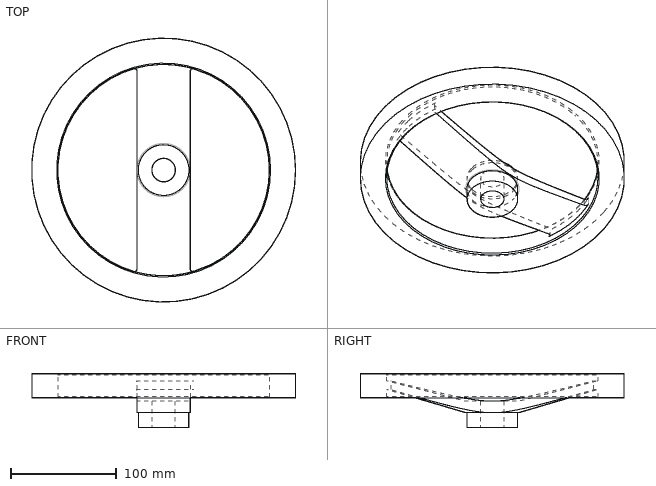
import cadquery as cq
import math

rim_radius = 125.0
rim_inner_radius = 100.0
rim_height = 23.0
rim_chamfer = 1.2

hub_radius = 24.0
hub_bottom = -28.0
hub_top = 0.0
bore_radius = 11.0

spoke_width = 50.5
web_inner_radius = spoke_width / 2
web_bottom_at_hub = -14.0
web_top_at_hub = -3.0
web_bottom_at_rim = 8.0
web_top_at_rim = 16.2
spoke_fillet = 2.5
corner_margin = 1.2
rim_overlap = 2.5


def make_rim():
    rim = cq.Workplane("XY").circle(rim_radius).circle(rim_inner_radius).extrude(rim_height)
    return rim.faces("<Z or >Z").edges(cq.selectors.RadiusNthSelector(0)).chamfer(rim_chamfer)


def make_spokes():
    """Conical web, flat around the hub, trimmed to a straight band along Y."""
    outer = rim_inner_radius + rim_overlap
    web = (
        cq.Workplane("XZ")
        .moveTo(0, web_bottom_at_hub)
        .lineTo(web_inner_radius, web_bottom_at_hub)
        .lineTo(rim_inner_radius, web_bottom_at_rim)
        .lineTo(outer, web_bottom_at_rim)
        .lineTo(outer, web_top_at_rim)
        .lineTo(rim_inner_radius, web_top_at_rim)
        .lineTo(web_inner_radius, web_top_at_hub)
        .lineTo(0, web_top_at_hub)
        .close()
        .revolve(360, (0, 0, 0), (0, 1, 0))
    )
    band = cq.Workplane("XY").box(spoke_width, 2 * outer, 2 * rim_height)
    return web.intersect(band)


def make_hub_cylinder(radius):
    return cq.Workplane("XY").workplane(offset=hub_bottom).circle(radius).extrude(hub_top - hub_bottom)


def round_spoke_corners(wheel):
    """Fillet the four vertical corners where the spoke sides meet the rim bore."""
    corner_x = spoke_width / 2
    corner_y = math.sqrt(rim_inner_radius**2 - corner_x**2)
    for side in (-1, 1):
        corners = cq.selectors.BoxSelector(
            (-corner_x - corner_margin, side * corner_y - corner_margin, 0),
            (corner_x + corner_margin, side * corner_y + corner_margin, rim_height),
        )
        wheel = wheel.edges("|Z").edges(corners).fillet(spoke_fillet)
    return wheel


wheel = round_spoke_corners(make_rim().union(make_spokes()))
result = wheel.union(make_hub_cylinder(hub_radius)).cut(make_hub_cylinder(bore_radius))